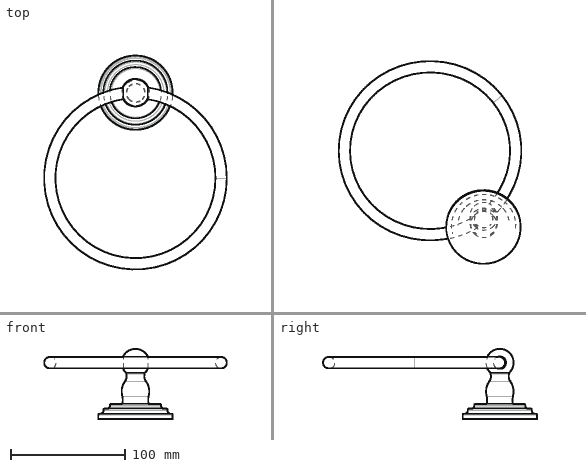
import cadquery as cq
import math

ring_outer_radius = 79.9
tube_radius = 5.0
ring_radius = ring_outer_radius - tube_radius
ring_center_y = -74.7

base_radius = 32.5
middle_radius = 28.0
upper_radius = 22.5
base_top = 4.9
middle_top = 9.4
upper_top = 13.3
edge_round = 1.1
cove_width = 2.2
cove_top_gap = 1.7

foot_radius = 11.6
foot_waist_radius = 11.2
bulge_radius = 12.2
shoulder_radius = 9.4
neck_radius = 7.9
collar_radius = 8.2
bulge_bottom = 20.0
bulge_middle = 25.3
bulge_top = 33.0
neck_middle = 36.9
collar_bottom = 39.7

ball_radius = 12.2
ball_center_z = 49.4
ball_flat_x = 10.9


def add_rounded_step(profile, radius, top):
    """Draw a step's side, rounded edge and top landing, in the XZ half plane."""
    arc_inset = edge_round * (1 - math.sqrt(0.5))
    return (
        profile.lineTo(radius, top - edge_round)
        .threePointArc((radius - arc_inset, top - arc_inset), (radius - edge_round, top))
    )


def add_cove(profile, lower_top, radius, upper_step_top):
    """Draw a hollow cove from the lower landing up to the side of the next step."""
    cove_end_z = upper_step_top - cove_top_gap
    cove_height = cove_end_z - lower_top
    middle_x = radius + cove_width * (1 - math.sqrt(0.5))
    middle_z = cove_end_z - cove_height * math.sqrt(0.5)
    return (
        profile.lineTo(radius + cove_width, lower_top)
        .threePointArc((middle_x, middle_z), (radius, cove_end_z))
    )


def make_stand():
    """Revolve the base and the post as one profile about the Z axis."""
    profile = cq.Workplane("XZ").lineTo(base_radius, 0)
    profile = add_rounded_step(profile, base_radius, base_top)
    profile = add_cove(profile, base_top, middle_radius, middle_top)
    profile = add_rounded_step(profile, middle_radius, middle_top)
    profile = add_cove(profile, middle_top, upper_radius, upper_top)
    profile = add_rounded_step(profile, upper_radius, upper_top)

    foot_middle = (upper_top + bulge_bottom) / 2
    ball_joint_z = ball_center_z - math.sqrt(ball_radius**2 - collar_radius**2)
    profile = (
        profile.lineTo(foot_radius, upper_top)
        .threePointArc((foot_waist_radius, foot_middle), (foot_radius, bulge_bottom))
        .threePointArc((bulge_radius, bulge_middle), (shoulder_radius, bulge_top))
        .threePointArc((neck_radius, neck_middle), (collar_radius, collar_bottom))
        .lineTo(collar_radius, ball_joint_z)
        .lineTo(0, ball_center_z)
        .close()
    )
    return profile.revolve(360, (0, 0, 0), (0, 1, 0))


def make_ball():
    """Make the ball and trim its two sides flat."""
    ball_diameter = 2 * ball_radius
    trim = cq.Workplane("XY").box(2 * ball_flat_x, ball_diameter, ball_diameter)
    return cq.Workplane("XY").sphere(ball_radius).intersect(trim).translate((0, 0, ball_center_z))


def make_ring():
    """Make the ring, level with the ball's center and passing through it."""
    ring = cq.Solid.makeTorus(ring_radius, tube_radius)
    return cq.Workplane("XY").add(ring).translate((0, ring_center_y, ball_center_z))


result = make_stand().union(make_ball()).union(make_ring())